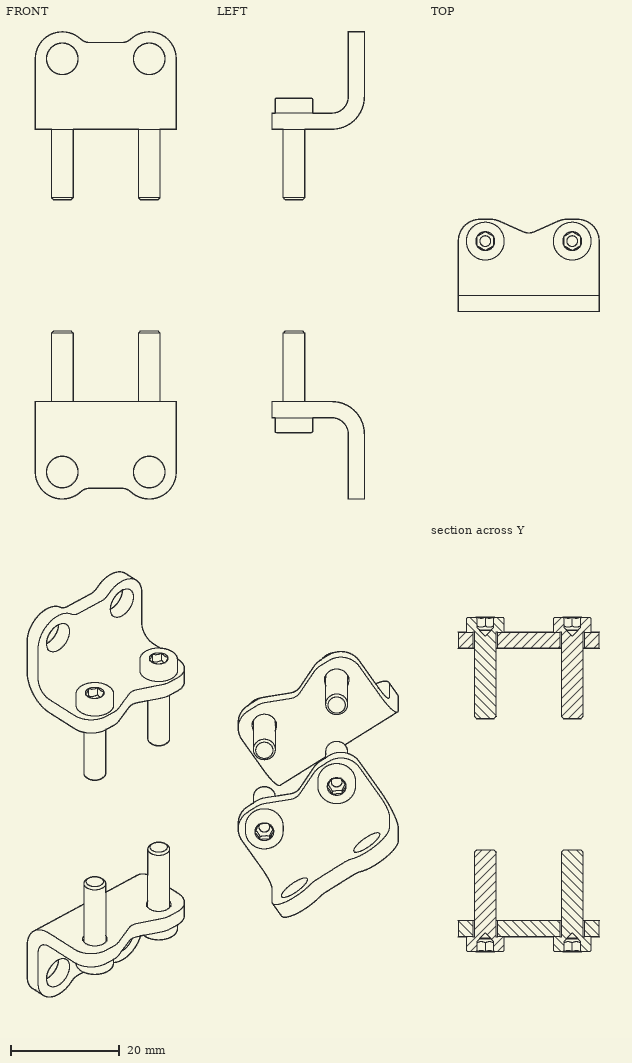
import cadquery as cq
import math


overall_height = 86.0
bracket_width = 26.0
bracket_height = 18.0
flange_length = 17.0
plate_thickness = 3.0
bend_inner_radius = 3.0
bend_outer_radius = bend_inner_radius + plate_thickness
bracket_bottom_z = overall_height / 2 - bracket_height
flange_top_z = bracket_bottom_z + plate_thickness

hole_spacing = 16.0
hole_xs = (-hole_spacing / 2, hole_spacing / 2)
mounting_hole_diameter = 5.8
clearance_hole_diameter = 4.5

upright_ear_radius = (bracket_width - hole_spacing) / 2
mounting_hole_z = overall_height / 2 - upright_ear_radius
notch_depth = 2.0
notch_blend_radius = 2.5

screw_y = 13.0
flange_ear_radius = flange_length - screw_y
valley_angle = math.radians(24)
valley_blend_radius = 2.5

shaft_diameter = 4.0
shaft_length = 16.0
tip_chamfer = 0.4
head_diameter = 7.0
head_height = 2.75
head_fillet = 0.35
socket_width = 3.0
socket_corner_diameter = socket_width / math.cos(math.pi / 6)
socket_depth = 1.6
pilot_diameter = 2.0
pilot_depth = 2.5
cone_half_angle = math.radians(45)


def make_side_profile():
    """L-shaped bent plate, running the full bracket width along X."""
    bend_end_z = bracket_bottom_z + bend_outer_radius
    diagonal = math.sqrt(0.5)
    outer_mid = bend_outer_radius * (1 - diagonal)
    inner_mid = bend_outer_radius - bend_inner_radius * diagonal
    return (
        cq.Workplane("YZ")
        .moveTo(flange_length, bracket_bottom_z)
        .lineTo(bend_outer_radius, bracket_bottom_z)
        .threePointArc((outer_mid, bracket_bottom_z + outer_mid), (0, bend_end_z))
        .lineTo(0, overall_height / 2)
        .lineTo(plate_thickness, overall_height / 2)
        .lineTo(plate_thickness, bend_end_z)
        .threePointArc((inner_mid, bracket_bottom_z + inner_mid), (bend_outer_radius, flange_top_z))
        .lineTo(flange_length, flange_top_z)
        .close()
        .extrude(bracket_width / 2, both=True)
    )


def make_upright_outline():
    """Prism along Y: two round ears joined by concave blends to a flat-bottomed notch."""
    ear_x = hole_spacing / 2
    side_x = bracket_width / 2
    notch_z = overall_height / 2 - notch_depth
    blend_center_z = notch_z + notch_blend_radius
    center_rise = blend_center_z - mounting_hole_z
    center_distance = upright_ear_radius + notch_blend_radius
    center_run = math.sqrt(center_distance**2 - center_rise**2)
    blend_x = ear_x - center_run
    touch_x = ear_x - center_run * upright_ear_radius / center_distance
    touch_z = mounting_hole_z + center_rise * upright_ear_radius / center_distance
    half_angle = math.atan2(center_run, center_rise) / 2
    blend_mid_x = blend_x + notch_blend_radius * math.sin(half_angle)
    blend_mid_z = blend_center_z - notch_blend_radius * math.cos(half_angle)
    return (
        cq.Workplane("XZ")
        .moveTo(-side_x, bracket_bottom_z)
        .lineTo(side_x, bracket_bottom_z)
        .lineTo(side_x, mounting_hole_z)
        .threePointArc((ear_x, overall_height / 2), (touch_x, touch_z))
        .threePointArc((blend_mid_x, blend_mid_z), (blend_x, notch_z))
        .lineTo(-blend_x, notch_z)
        .threePointArc((-blend_mid_x, blend_mid_z), (-touch_x, touch_z))
        .threePointArc((-ear_x, overall_height / 2), (-side_x, mounting_hole_z))
        .close()
        .extrude(-flange_length)
    )


def make_flange_outline():
    """Prism along Z: rounded outer corners, short flat ends and a blended V-shaped valley."""
    side_x = bracket_width / 2
    corner_x = side_x - flange_ear_radius
    inner_x = hole_spacing - corner_x
    corner_mid = flange_ear_radius * math.sqrt(0.5)

    def inner_arc_point(angle):
        return (
            inner_x - flange_ear_radius * math.sin(angle),
            screw_y + flange_ear_radius * math.cos(angle),
        )

    arc_mid_x, arc_mid_y = inner_arc_point(valley_angle / 2)
    arc_end_x, arc_end_y = inner_arc_point(valley_angle)
    valley_y = arc_end_y - arc_end_x * math.tan(valley_angle)
    return (
        cq.Workplane("XY")
        .workplane(offset=bracket_bottom_z)
        .moveTo(-side_x, 0)
        .lineTo(side_x, 0)
        .lineTo(side_x, screw_y)
        .threePointArc((corner_x + corner_mid, screw_y + corner_mid), (corner_x, flange_length))
        .lineTo(inner_x, flange_length)
        .threePointArc((arc_mid_x, arc_mid_y), (arc_end_x, arc_end_y))
        .lineTo(0, valley_y)
        .lineTo(-arc_end_x, arc_end_y)
        .threePointArc((-arc_mid_x, arc_mid_y), (-inner_x, flange_length))
        .lineTo(-corner_x, flange_length)
        .threePointArc((-corner_x - corner_mid, screw_y + corner_mid), (-side_x, screw_y))
        .close()
        .extrude(bracket_height)
        .edges(cq.selectors.NearestToPointSelector((0, valley_y, bracket_bottom_z + bracket_height / 2)))
        .fillet(valley_blend_radius)
    )


def make_bracket():
    """Upper bracket with its mounting holes and screw clearance holes."""
    mounting_holes = (
        cq.Workplane("XZ")
        .pushPoints([(x, mounting_hole_z) for x in hole_xs])
        .circle(mounting_hole_diameter / 2)
        .extrude(-plate_thickness)
    )
    clearance_holes = (
        cq.Workplane("XY")
        .workplane(offset=bracket_bottom_z)
        .pushPoints([(x, screw_y) for x in hole_xs])
        .circle(clearance_hole_diameter / 2)
        .extrude(plate_thickness)
    )
    return (
        make_side_profile()
        .intersect(make_upright_outline())
        .intersect(make_flange_outline())
        .cut(mounting_holes)
        .cut(clearance_holes)
    )


def make_cone(top_radius, top_z):
    """Downward-pointing cone with the half angle shared by all the socket cones."""
    depth = top_radius / math.tan(cone_half_angle)
    return (
        cq.Workplane("XZ")
        .moveTo(0, top_z)
        .lineTo(top_radius, top_z)
        .lineTo(0, top_z - depth)
        .close()
        .revolve(360, (0, 0, 0), (0, 1, 0))
    )


def make_socket():
    """Hexagonal socket, countersunk at its mouth, with a coned floor and a drilled pilot."""
    socket_floor_z = head_height - socket_depth
    pilot_floor_z = head_height - pilot_depth
    corner_radius = socket_corner_diameter / 2
    hexagon = (
        cq.Workplane("XY")
        .workplane(offset=socket_floor_z)
        .transformed(rotate=(0, 0, 90))
        .polygon(6, socket_corner_diameter)
        .extrude(socket_depth)
    )
    hex_column = hexagon.translate((0, 0, -socket_depth))
    coned_floor = make_cone(corner_radius, socket_floor_z).intersect(hex_column)
    pilot = (
        cq.Workplane("XY")
        .workplane(offset=pilot_floor_z)
        .circle(pilot_diameter / 2)
        .extrude(pilot_depth)
    )
    return (
        hexagon
        .union(make_cone(corner_radius, head_height))
        .union(coned_floor)
        .union(pilot)
        .union(make_cone(pilot_diameter / 2, pilot_floor_z))
    )


def make_screw(x):
    """Screw pointing down, its head resting on the upper bracket's flange."""
    head = (
        cq.Workplane("XY")
        .circle(head_diameter / 2)
        .extrude(head_height)
        .faces(">Z")
        .fillet(head_fillet)
    )
    shaft = (
        cq.Workplane("XY")
        .circle(shaft_diameter / 2)
        .extrude(-shaft_length)
        .faces("<Z")
        .chamfer(tip_chamfer)
    )
    return head.union(shaft).cut(make_socket()).translate((x, screw_y, flange_top_z))


upper_bodies = [make_bracket()]
for hole_x in hole_xs:
    upper_bodies.append(make_screw(hole_x))

lower_bodies = [body.mirror("XY") for body in upper_bodies]

result = cq.Compound.makeCompound([body.val() for body in upper_bodies + lower_bodies])